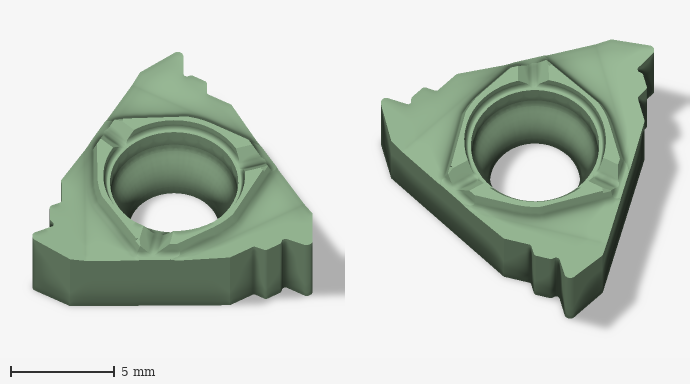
import cadquery as cq
import math

TIPS = 3
PITCH = 360 / TIPS
AXIS = ((0, 0, 0), (0, 0, 1))
FLANK_RUN = 1 / math.tan(math.radians(60))

top_z = 4.1
floor_z = 3.5
tip_z = 3.95

side_distance = 4.78
tip_y = 6.9
tip_apex_y = 7.18
tip_radius = 0.26
flank_start_y = 5.08
shoulder_y = 5.47
crest_y = 6.04
notch_y = 5.86
shoulder_root_x = -1.28
crest_left_x = -2.45
shoulder_root_radius = 0.14
crest_right_radius = 0.16
crest_left_radius = 0.2
notch_right_radius = 0.07
notch_left_radius = 0.14

crease_y = 4.3
crease_radius = 0.41

boss_radius = 3.72
boss_back_distance = 3.64
boss_back_angle = 121.9
boss_draft = 27
boss_blend_radius = 0.81
foot_radius = 0.31

bevel_start = 2.33
bevel_width = 0.12
bevel_drop = 0.12

side_angle = 60
land_z = 3.55
land_wall_distance = 4.23
land_wall_draft = 20
land_radius = 0.25

groove_angle = 46.5
groove_half_width = 0.75
groove_bottom_half_width = 0.14
groove_z = 3.58
groove_root_radius = 0.25

hole_radius = 2.18
seat_arc_radius = 2.71
seat_low_z = 0.52
seat_fillet = 0.52
bore_bottom_radius = 3.04
bore_top_radius = 3.11
recess_z = 3.58
recess_top_radius = 3.43
recess_bottom_radius = 3.38
recess_fillet = 0.19


def rotate_point(point, degrees):
    c = math.cos(math.radians(degrees))
    s = math.sin(math.radians(degrees))
    return (point[0] * c - point[1] * s, point[0] * s + point[1] * c)


def line_crossing(distance_a, angle_a, distance_b, angle_b):
    """Point where two lines cross, each given by distance from the axis and normal direction."""
    a = math.radians(angle_a)
    b = math.radians(angle_b)
    det = math.sin(b - a)
    x = (distance_a * math.sin(b) - distance_b * math.sin(a)) / det
    y = (distance_b * math.cos(a) - distance_a * math.cos(b)) / det
    return (x, y)


def edges_at_height(z):
    """Selector for edges centred near the axis at height z."""
    reach = tip_y
    return cq.selectors.BoxSelector((-reach, -reach, z - 0.01), (reach, reach, z + 0.01))


def rounded_prism(corners, height):
    """Extrude a polygon of ((x, y), radius) corners, rounding those with a radius."""
    prism = cq.Workplane("XY").polyline([point for point, _ in corners]).close().extrude(height)
    for (x, y), radius in corners:
        if radius:
            prism = prism.edges(cq.selectors.NearestToPointSelector((x, y, height / 2))).fillet(radius)
    return prism


def tip_corners():
    """Corners of one tip, counter-clockwise from the shoulder to the long side."""
    crest_right_x = shoulder_root_x - (crest_y - shoulder_y) * FLANK_RUN
    notch_right_x = crest_left_x - (crest_y - notch_y)
    apex_x = -side_distance + (tip_apex_y - flank_start_y) * FLANK_RUN
    tip_half_flat = (tip_apex_y - tip_y) * FLANK_RUN
    notch_left_x = apex_x + (tip_apex_y - notch_y) * FLANK_RUN
    return [
        (line_crossing(side_distance, side_angle, shoulder_y, 90), 0),
        ((shoulder_root_x, shoulder_y), shoulder_root_radius),
        ((crest_right_x, crest_y), crest_right_radius),
        ((crest_left_x, crest_y), crest_left_radius),
        ((notch_right_x, notch_y), notch_right_radius),
        ((notch_left_x, notch_y), notch_left_radius),
        ((apex_x + tip_half_flat, tip_y), tip_radius),
        ((apex_x - tip_half_flat, tip_y), tip_radius),
        ((-side_distance, flank_start_y), 0),
    ]


def make_blank():
    corners = []
    for i in range(TIPS):
        corners += [(rotate_point(point, i * PITCH), radius) for point, radius in tip_corners()]
    return rounded_prism(corners, top_z)


def make_rake_wedge():
    """Material above the floor under the sloping rake face of the +Y tip."""
    slope = math.atan2(tip_z - floor_z, tip_y - crease_y)
    tangent = crease_radius * math.tan(slope / 2)
    half_turn = slope / 2
    arc_mid = (
        crease_y - tangent + crease_radius * math.sin(half_turn),
        floor_z + crease_radius * (1 - math.cos(half_turn)),
    )
    arc_end = (crease_y + tangent * math.cos(slope), floor_z + tangent * math.sin(slope))
    return (
        cq.Workplane("YZ")
        .moveTo(crease_y - tangent, floor_z)
        .threePointArc(arc_mid, arc_end)
        .lineTo(tip_y, tip_z)
        .lineTo(tip_y, 0)
        .lineTo(crease_y - tangent, 0)
        .close()
        .extrude(2 * side_distance, both=True)
    )


def make_boss():
    """Drafted boss standing on a wide plate, with a fillet around its foot."""
    blend_centre_distance = boss_radius - boss_blend_radius
    blend_turn = math.degrees(
        math.acos((boss_back_distance - boss_blend_radius) / blend_centre_distance)
    )
    blend_start_angle = boss_back_angle - blend_turn
    blend_centre = rotate_point((blend_centre_distance, 0), blend_start_angle)

    def blend_point(angle):
        dx, dy = rotate_point((boss_blend_radius, 0), angle)
        return (blend_centre[0] + dx, blend_centre[1] + dy)

    arc_start = (0, boss_radius)
    arc_mid = rotate_point(arc_start, (blend_start_angle - 90) / 2)
    blend_start = blend_point(blend_start_angle)
    blend_mid = blend_point(boss_back_angle - blend_turn / 2)
    blend_end = blend_point(boss_back_angle)
    corner = line_crossing(boss_radius, 90, boss_back_distance, boss_back_angle - PITCH)
    outline = cq.Workplane("XY", origin=(0, 0, top_z)).moveTo(*corner)
    for i in range(TIPS):
        turn = i * PITCH
        if i:
            outline = outline.lineTo(*rotate_point(corner, turn))
        outline = outline.lineTo(*rotate_point(arc_start, turn))
        outline = outline.threePointArc(rotate_point(arc_mid, turn), rotate_point(blend_start, turn))
        outline = outline.threePointArc(rotate_point(blend_mid, turn), rotate_point(blend_end, turn))
    boss = outline.close().extrude(-(top_z - floor_z), taper=-boss_draft)
    plate = cq.Workplane("XY").rect(4 * tip_y, 4 * tip_y).extrude(floor_z)
    return plate.union(boss).edges(edges_at_height(floor_z)).fillet(foot_radius)


def make_land_cutter():
    """Cutter along X that leaves a flat land (+Y), a root fillet and a drafted wall."""
    wall_foot = land_wall_distance + (top_z - land_z) * math.tan(math.radians(land_wall_draft))
    cutter = (
        cq.Workplane("YZ")
        .moveTo(land_wall_distance, top_z)
        .lineTo(wall_foot, land_z)
        .lineTo(tip_y, land_z)
        .lineTo(tip_y, top_z)
        .close()
        .extrude(side_distance, both=True)
    )
    root = cq.selectors.NearestToPointSelector((0, wall_foot, land_z))
    return cutter.edges("|X").edges(root).fillet(land_radius)


def make_bevel_cutter():
    """Triangular cutter along -X for the bevel; the back wall faces +Y."""
    wall_point = boss_back_distance + bevel_drop * math.tan(math.radians(boss_draft))
    return (
        cq.Workplane("YZ", origin=(-bevel_start, 0, 0))
        .moveTo(boss_back_distance - bevel_width, top_z)
        .lineTo(wall_point, top_z - bevel_drop)
        .lineTo(wall_point, top_z)
        .close()
        .extrude(bevel_start - side_distance)
    )


def make_groove():
    """V groove with a rounded, flat bottom, running along +X from the hole axis."""
    return (
        cq.Workplane("YZ")
        .moveTo(-groove_half_width, top_z)
        .lineTo(-groove_bottom_half_width, groove_z)
        .lineTo(groove_bottom_half_width, groove_z)
        .lineTo(groove_half_width, top_z)
        .close()
        .extrude(tip_y)
        .edges("|X and (not >Z)")
        .fillet(groove_root_radius)
    )


def make_hole():
    """Screw hole: recess, bore, and a convex seat curving into the through hole."""
    seat_angle = math.acos(1 - (bore_bottom_radius - hole_radius) / seat_arc_radius)

    def seat_point(angle):
        r = hole_radius + seat_arc_radius * (1 - math.cos(angle))
        return (r, seat_low_z + seat_arc_radius * math.sin(angle))

    seat_top = seat_point(seat_angle)
    hole = (
        cq.Workplane("XZ")
        .moveTo(0, 0)
        .lineTo(hole_radius, 0)
        .lineTo(hole_radius, seat_low_z)
        .threePointArc(seat_point(seat_angle / 2), seat_top)
        .lineTo(bore_top_radius, recess_z)
        .lineTo(recess_bottom_radius, recess_z)
        .lineTo(recess_top_radius, top_z)
        .lineTo(0, top_z)
        .close()
        .revolve(360, (0, 0), (0, 1))
    )
    hole = hole.edges(edges_at_height(seat_top[1])).fillet(seat_fillet)
    recess_corner = cq.selectors.RadiusNthSelector(-1)
    return hole.edges(edges_at_height(recess_z)).edges(recess_corner).fillet(recess_fillet)


blank = make_blank()
body = make_boss()
for i in range(TIPS):
    turn = i * PITCH
    body = body.cut(make_bevel_cutter().rotate(*AXIS, boss_back_angle - 90 + turn))
    body = body.cut(make_land_cutter().rotate(*AXIS, side_angle - 90 + turn))
    body = body.cut(make_groove().rotate(*AXIS, groove_angle + turn))
for i in range(TIPS):
    body = body.union(make_rake_wedge().rotate(*AXIS, i * PITCH))
result = blank.intersect(body).cut(make_hole())